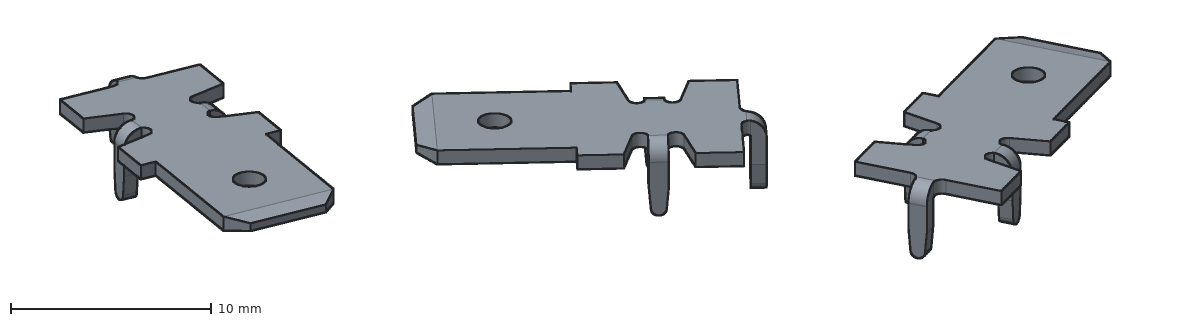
import cadquery as cq
import math

length = 17.6
thickness = 0.8
height = 4.0

body_rear = 1.28
body_front = 9.63
body_width = 8.0
body_half_width = body_width / 2
blade_half_width = 3.15
tip_length = 1.0
tip_thickness = 0.44
hole_diameter = 1.65
hole_x = 13.59

pin_width = 1.0
bend_radius = 1.0
inner_bend_radius = bend_radius - thickness
taper_start_depth = 2.48
pin_end_radius = 0.4
side_pin_x = 5.5
side_pin_reach = 2.95
rear_relief_radius = 0.48
rear_relief_y = pin_width / 2 + rear_relief_radius

notch_half_mouth = 1.8
notch_floor = 1.65
notch_radius = 0.42
notch_offset = 0.9

side_bend_y = side_pin_reach - bend_radius


def make_blank():
    """Flat body with the narrower blade and its corner-cut tip."""
    tip_start = length - tip_length
    half = [
        (body_rear, body_half_width),
        (body_front, body_half_width),
        (body_front, blade_half_width),
        (tip_start, blade_half_width),
        (length, blade_half_width - tip_length),
    ]
    mirrored = [(x, -y) for x, y in reversed(half)]
    blank = cq.Workplane("XY").polyline(half + mirrored).close().extrude(-thickness)

    bevel = (thickness - tip_thickness) / 2
    profile = (
        cq.Workplane("XZ")
        .moveTo(0, 0)
        .lineTo(tip_start, 0)
        .lineTo(length, -bevel)
        .lineTo(length, bevel - thickness)
        .lineTo(tip_start, -thickness)
        .lineTo(0, -thickness)
        .close()
        .extrude(body_half_width, both=True)
    )
    hole = cq.Workplane("XY").center(hole_x, 0).circle(hole_diameter / 2).extrude(-thickness)
    return blank.intersect(profile).cut(hole)


def make_notch():
    """Flared opening on the +Y side, ending at the bend line of the side pin."""
    center_y = notch_floor + notch_radius
    run = notch_half_mouth - notch_offset
    rise = body_half_width - center_y
    tangent_angle = math.atan2(rise, run) - math.acos(notch_radius / math.hypot(run, rise))
    tangent_x = notch_offset + notch_radius * math.cos(tangent_angle)
    tangent_y = center_y + notch_radius * math.sin(tangent_angle)
    bend_x = notch_offset - math.sqrt(notch_radius**2 - (center_y - side_bend_y) ** 2)
    return (
        cq.Workplane("XY")
        .center(side_pin_x, 0)
        .moveTo(-notch_half_mouth, body_half_width)
        .lineTo(-tangent_x, tangent_y)
        .threePointArc((-notch_offset, notch_floor), (-bend_x, side_bend_y))
        .lineTo(bend_x, side_bend_y)
        .threePointArc((notch_offset, notch_floor), (tangent_x, tangent_y))
        .lineTo(notch_half_mouth, body_half_width)
        .close()
        .extrude(-thickness)
    )


def make_bend(width):
    """Bent strip with its bend line on the Y axis, reaching toward +X."""
    diagonal = math.sqrt(0.5)
    return (
        cq.Workplane("XZ")
        .moveTo(0, 0)
        .threePointArc(
            (bend_radius * diagonal, bend_radius * (diagonal - 1)),
            (bend_radius, -bend_radius),
        )
        .lineTo(bend_radius, -height)
        .lineTo(inner_bend_radius, -height)
        .lineTo(inner_bend_radius, -bend_radius)
        .threePointArc(
            (inner_bend_radius * diagonal, inner_bend_radius * diagonal - bend_radius),
            (0, -thickness),
        )
        .close()
        .extrude(width / 2, both=True)
    )


def make_pin():
    """Bent pin with a tapered shank and a rounded end."""
    end_z = pin_end_radius - height
    outline = (
        cq.Workplane("YZ")
        .moveTo(-pin_width / 2, 0)
        .lineTo(-pin_width / 2, -taper_start_depth)
        .lineTo(-pin_end_radius, end_z)
        .threePointArc((0, -height), (pin_end_radius, end_z))
        .lineTo(pin_width / 2, -taper_start_depth)
        .lineTo(pin_width / 2, 0)
        .close()
        .extrude(bend_radius)
    )
    return make_bend(pin_width).intersect(outline)


def make_rear_root():
    """Concave-sided root of the rear pin, running from the body into the bend."""
    root_start = body_rear - rear_relief_radius
    root_width = 2 * rear_relief_y
    region = (
        cq.Workplane("XY")
        .center((root_start + body_rear) / 2, 0)
        .rect(rear_relief_radius, root_width)
        .extrude(-thickness - inner_bend_radius)
    )
    reliefs = (
        cq.Workplane("XY")
        .pushPoints([(root_start, rear_relief_y), (root_start, -rear_relief_y)])
        .circle(rear_relief_radius)
        .extrude(-thickness - inner_bend_radius)
    )
    flat = (
        cq.Workplane("XY")
        .center((bend_radius + body_rear) / 2, 0)
        .rect(body_rear - bend_radius, root_width)
        .extrude(-thickness)
    )
    bend = make_bend(root_width).rotate((0, 0, 0), (0, 0, 1), 180).translate((bend_radius, 0, 0))
    return flat.union(bend).intersect(region).cut(reliefs)


notch = make_notch()
pin = make_pin()
side_pin = pin.rotate((0, 0, 0), (0, 0, 1), 90).translate((side_pin_x, side_bend_y, 0))
rear_pin = pin.rotate((0, 0, 0), (0, 0, 1), 180).translate((bend_radius, 0, 0))

result = make_blank().cut(notch).cut(notch.mirror("XZ"))
result = result.union(make_rear_root()).union(rear_pin)
result = result.union(side_pin).union(side_pin.mirror("XZ"))